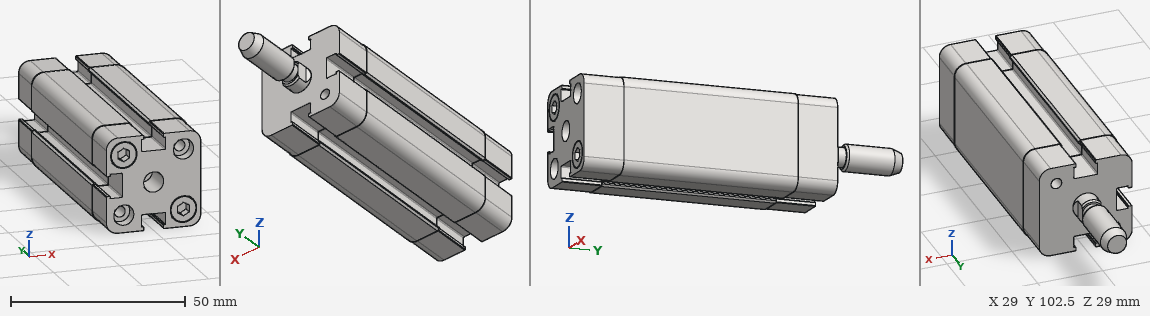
import cadquery as cq
import math

total_length = 102.5
housing_length = 78.0
cap_length = 12.2

body_width = 29.0
body_corner_radius = 3.7
cap_inset = 0.2

slot_floor_depth = 4.8
slot_inner_width = 6.9
slot_lip_depth = 1.6
slot_floor_radius = 0.3
body_throat_width = 5.1
cap_throat_width = 5.9
slot_mouth_width = 6.4
slot_angles = [0, 90, 180]

corner_offset = 9.0
tie_hole_diameter = 3.3
mount_bore_diameter = 6.0
mount_bore_depth = 3.6
screw_bore_diameter = 8.0
screw_head_diameter = 7.5
screw_gap_depth = 4.0
socket_flats = 3.5
socket_depth = 3.0

centre_hole_diameter = 6.0
centre_hole_depth = 10.0

rod_diameter = 8.0
neck_diameter = 5.8
tip_diameter = 5.8
tip_taper_length = 2.9
thread_start = 85.1
thread_chamfer = 0.6
shank_end = 82.7
shank_chamfer = 0.5
flats_width = neck_diameter
flats_start = 79.2
rod_embed = 1.0


def rear_plane(y=0):
    """Work plane at Y = y facing -Y, with local x along X and local y along Z."""
    return cq.Workplane("XZ", origin=(0, y, 0))


def slot_cutter(inset, throat_width, y_start, y_end):
    """T-slot prism opening upwards, with both edges of each lip chamfered."""
    length = y_end - y_start
    top = body_width / 2 - inset
    lip = body_width / 2 - slot_lip_depth + inset
    floor = body_width / 2 - slot_floor_depth - inset
    chamber = (
        rear_plane(y_start)
        .center(0, (floor + lip) / 2)
        .rect(slot_inner_width + 2 * inset, lip - floor)
        .extrude(-length)
        .edges("|Y and <Z")
        .fillet(slot_floor_radius)
    )
    mouth = slot_mouth_width / 2
    throat = throat_width / 2
    chamfer = mouth - throat
    right_side = [
        (mouth, lip),
        (throat, lip + chamfer),
        (throat, top - chamfer),
        (mouth, top),
    ]
    left_side = [(-x, z) for x, z in reversed(right_side)]
    opening = rear_plane(y_start).polyline(right_side + left_side).close().extrude(-length)
    return chamber.union(opening)


def housing_section(inset, throat_width, y_start, y_end):
    """Rounded square bar with T-slots, every surface set in from the body by inset."""
    width = body_width - 2 * inset
    section = rear_plane(y_start).rect(width, width).extrude(y_start - y_end)
    section = section.edges("|Y").fillet(body_corner_radius - inset)
    cutter = slot_cutter(inset, throat_width, y_start, y_end)
    for angle in slot_angles:
        section = section.cut(cutter.rotate((0, 0, 0), (0, 1, 0), -angle))
    return section


def hole(x, z, diameter, depth):
    """Cylinder entering the rear face at (x, z)."""
    return rear_plane().center(x, z).circle(diameter / 2).extrude(-depth)


def screw_recess(x, z):
    """Clearance ring around a flush screw head, plus its hexagon socket."""
    ring = (
        rear_plane()
        .center(x, z)
        .circle(screw_bore_diameter / 2)
        .circle(screw_head_diameter / 2)
        .extrude(-screw_gap_depth)
    )
    socket_corners = socket_flats / math.cos(math.pi / 6)
    socket = (
        rear_plane()
        .center(x, z)
        .transformed(rotate=(0, 0, 90))
        .polygon(6, socket_corners)
        .extrude(-socket_depth)
    )
    return ring.union(socket)


def piston_rod():
    """Turned rod end with a threaded stud, a neck and two wrench flats."""
    rod = rod_diameter / 2
    neck = neck_diameter / 2
    root = thread_start + thread_chamfer
    half_profile = [
        (0, housing_length - rod_embed),
        (rod, housing_length - rod_embed),
        (rod, shank_end - shank_chamfer),
        (rod - shank_chamfer, shank_end),
        (neck, shank_end),
        (neck, thread_start),
        (rod - thread_chamfer, thread_start),
        (rod, root),
        (rod, total_length - tip_taper_length),
        (tip_diameter / 2, total_length),
        (0, total_length),
    ]
    turned = cq.Workplane("XY").polyline(half_profile).close().revolve(360, (0, 0, 0), (0, 1, 0))
    runout = rod - flats_width / 2
    flat_profile = [
        (flats_width / 2, shank_end),
        (flats_width / 2, flats_start),
        (rod, flats_start - runout),
        (rod, shank_end),
    ]
    flat = cq.Workplane("XY").polyline(flat_profile).close().extrude(rod, both=True)
    return turned.cut(flat).cut(flat.mirror("YZ"))


front_cap_start = housing_length - cap_length
rear_cap = housing_section(cap_inset, cap_throat_width, 0, cap_length)
body = housing_section(0, body_throat_width, cap_length, front_cap_start)
front_cap = housing_section(cap_inset, cap_throat_width, front_cap_start, housing_length)
housing = body.union(rear_cap).union(front_cap)

for side in (1, -1):
    position = side * corner_offset
    housing = housing.cut(hole(position, position, tie_hole_diameter, housing_length))
    housing = housing.cut(hole(position, position, mount_bore_diameter, mount_bore_depth))
    housing = housing.cut(screw_recess(-position, position))
housing = housing.cut(hole(0, 0, centre_hole_diameter, centre_hole_depth))

result = housing.union(piston_rod())